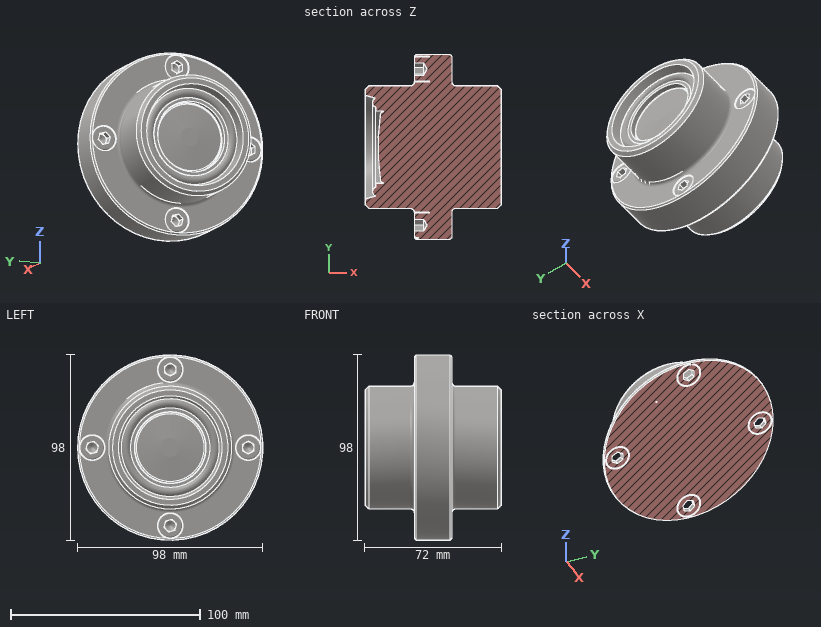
import cadquery as cq
import math

total_length = 72.0
flange_diameter = 98.0
flange_width = 20.0
flange_chamfer = 1.0
hub_diameter = 65.0
hub_end_chamfer = 2.0
hub_root_fillet = 2.0

mouth_diameter = 54.8
mouth_floor_diameter = 51.7
seal_mean_diameter = 47.07
seal_depth = 6.4
lip_outer_diameter = 42.0
lip_inner_diameter = 38.0
lip_depth = 5.6
disc_diameter = 37.5
disc_edge_chamfer = 0.85
disc_flat_diameter = 10.0
disc_flat_depth = 6.9
disc_cone_depth = 8.1
disc_gap_depth = 9.5

screw_count = 4
counterbore_diameter = 13.5
screw_head_diameter = 13.0
screw_head_height = 8.0
screw_head_rounding = 0.75
socket_sides = 6
socket_across_flats = 6.0
socket_depth = 5.0
socket_tip_angle = 120.0
socket_turns = (-15.0, 30.0, 30.0, -15.0)

end_x = -total_length / 2
flange_x = -flange_width / 2
hub_radius = hub_diameter / 2
flange_radius = flange_diameter / 2
seal_mean_radius = seal_mean_diameter / 2
lip_outer_radius = lip_outer_diameter / 2
seal_section_radius = seal_mean_radius - lip_outer_radius
bolt_circle_radius = (hub_radius + hub_root_fillet + flange_radius - flange_chamfer) / 2


def along_x(length, x_start, diameter):
    """Cylinder on the X axis that starts at x_start and runs toward +X."""
    return cq.Workplane("YZ", origin=(x_start, 0, 0)).circle(diameter / 2).extrude(length)


def revolve_about_x(profile):
    """Turn a closed (x, radius) profile a full revolution about the X axis."""
    return profile.close().revolve(360, (0, 0, 0), (1, 0, 0))


def make_body():
    """Flange with an equal hub on each side, chamfered and with filleted roots."""
    hubs = along_x(total_length, end_x, hub_diameter).faces("<X or >X").chamfer(hub_end_chamfer)
    flange = along_x(flange_width, flange_x, flange_diameter).faces("<X or >X").chamfer(flange_chamfer)
    body = hubs.union(flange)
    root_zone = cq.selectors.BoxSelector(
        (-flange_width, -flange_width, -flange_width),
        (flange_width, flange_width, flange_width),
    )
    roots = body.edges(root_zone).edges(cq.selectors.RadiusNthSelector(0))
    return roots.fillet(hub_root_fillet)


def make_recess():
    """Hollow of the -X hub, whose floor is formed by the seal ring, the lip and the disc."""
    lip_x = end_x + lip_depth
    seal_x = end_x + seal_depth
    mouth_floor_radius = mouth_floor_diameter / 2
    contact_rise = mouth_floor_radius - seal_mean_radius
    contact_x = seal_x - math.sqrt(seal_section_radius**2 - contact_rise**2)
    disc_radius = disc_diameter / 2
    lip_inner_radius = lip_inner_diameter / 2
    gap_x = end_x + disc_gap_depth
    cone_x = end_x + disc_cone_depth
    flat_x = end_x + disc_flat_depth
    profile = (
        cq.Workplane("XY")
        .moveTo(end_x, 0)
        .lineTo(end_x, mouth_diameter / 2)
        .lineTo(contact_x, mouth_floor_radius)
        .threePointArc((seal_x - seal_section_radius, seal_mean_radius), (seal_x, lip_outer_radius))
        .lineTo(lip_x, lip_outer_radius)
        .lineTo(lip_x, lip_inner_radius)
        .lineTo(gap_x, lip_inner_radius)
        .lineTo(gap_x, disc_radius)
        .lineTo(cone_x + disc_edge_chamfer, disc_radius)
        .lineTo(cone_x, disc_radius - disc_edge_chamfer)
        .lineTo(flat_x, disc_flat_diameter / 2)
        .lineTo(flat_x, 0)
    )
    return revolve_about_x(profile)


def make_screw_head(socket_turn):
    """Screw head on the X axis, flush with the flange face, with a hexagon socket."""
    blank = along_x(screw_head_height, flange_x, screw_head_diameter)
    head = blank.faces("<X").edges().fillet(screw_head_rounding)
    across_corners = socket_across_flats / math.cos(math.pi / socket_sides)
    socket = (
        cq.Workplane("YZ", origin=(flange_x, 0, 0))
        .polygon(socket_sides, across_corners)
        .extrude(socket_depth)
        .rotate((0, 0, 0), (1, 0, 0), socket_turn)
    )
    floor_x = flange_x + socket_depth
    tip_radius = socket_across_flats / 2
    tip_x = floor_x + tip_radius / math.tan(math.radians(socket_tip_angle / 2))
    tip = revolve_about_x(
        cq.Workplane("XY").moveTo(floor_x, 0).lineTo(floor_x, tip_radius).lineTo(tip_x, 0)
    )
    return head.cut(socket).cut(tip)


def add_screws(body):
    """Sink the screws into counterbores spaced evenly on the bolt circle."""
    counterbore = along_x(screw_head_height, flange_x, counterbore_diameter)
    for index in range(screw_count):
        angle = 2 * math.pi * index / screw_count
        place = (0, bolt_circle_radius * math.cos(angle), bolt_circle_radius * math.sin(angle))
        body = body.cut(counterbore.translate(place))
        body = body.union(make_screw_head(socket_turns[index]).translate(place))
    return body


result = add_screws(make_body().cut(make_recess()))